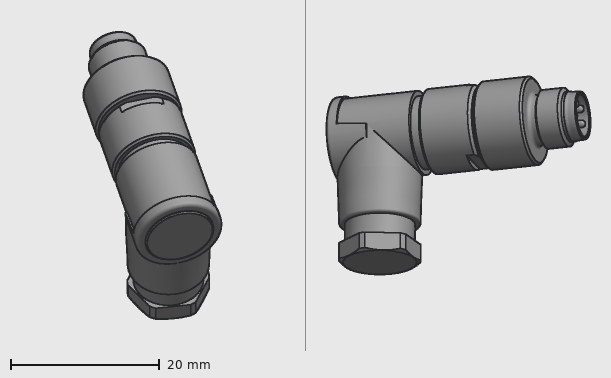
import cadquery as cq
import math


LENGTH = 34.8
HEIGHT = 23.8

TIP_RIM_RADIUS = 3.2
TIP_EDGE_RADIUS = 3.27
TIP_RADIUS = 3.3
TIP_RIM_END = 0.15
TIP_TAPER_END = 0.45
TIP_STRAIGHT_END = 1.15
BARB_RADIUS = 6.8 / 2
BARB_START = 1.45
BARB_END = 1.67
NECK_RADIUS = 6.85 / 2
BORE_RADIUS = 2.85
BORE_DEPTH = 5.22
BORE_CHAMFER = 0.15

COLLAR_RADIUS = 4.0
COLLAR_START = 2.02
COLLAR_END = 5.67
COLLAR_CHAMFER_ANGLE = 30.0

NUT_RADIUS = 12.0 / 2
NUT_START = 6.75
NUT_END = 13.75
NUT_CHAMFER = 0.3
NUT_NECK_FILLET = 0.55

SLEEVE_RADIUS = 11.6 / 2
SLEEVE_START = 14.05
SLEEVE_END = 21.5
SLEEVE_FRONT_CHAMFER = 0.42
SLEEVE_REAR_CHAMFER = 0.3
FLAT_DISTANCE = 10.0
FLAT_END = 15.55

ELBOW_NECK_RADIUS = FLAT_DISTANCE / 2
ELBOW_RADIUS = 5.7
ELBOW_START = 22.8
CAP_RADIUS = NUT_RADIUS
CAP_START = 32.95
CAP_END = 34.52
CAP_FILLET = 0.52
END_DISC_RADIUS = 9.5 / 2
END_DISC_CHAMFER = 0.2
SKIRT_RISE = 0.45

OUTLET_X = 28.78
OUTLET_TAPER_TOP = -6.0
OUTLET_BOTTOM = -12.42
OUTLET_BOTTOM_RADIUS = 5.5
OUTLET_FILLET = 0.35
OUTLET_NECK_RADIUS = END_DISC_RADIUS

HEX_TOP = -15.28
HEX_BOTTOM = CAP_RADIUS - HEIGHT
HEX_ACROSS_FLATS = 10.0
HEX_CORNER_RADIUS = 5.55
HEX_TURN = -7.5
HEX_EDGE_HEIGHT = 0.3
HEX_BOTTOM_RADIUS = 4.95

PIN_RADIUS = 1.0 / 2
PIN_TIP = 0.28
PIN_POSITIONS = [(1.08, 1.35), (-1.08, 1.35), (1.7, -0.55), (-1.7, -0.55)]


def cylinder_x(radius, start, end):
    """Solid cylinder on the plug axis."""
    return cq.Workplane("YZ").workplane(offset=start).circle(radius).extrude(end - start)


def plug():
    """Turned tip and threaded collar, running back to the sleeve, with the contact bore."""
    chamfer_depth = COLLAR_RADIUS - NECK_RADIUS
    chamfer_length = chamfer_depth * math.tan(math.radians(COLLAR_CHAMFER_ANGLE))
    profile = (
        cq.Workplane("XZ")
        .moveTo(BORE_DEPTH, 0)
        .lineTo(BORE_DEPTH, BORE_RADIUS)
        .lineTo(BORE_CHAMFER, BORE_RADIUS)
        .lineTo(0, BORE_RADIUS + BORE_CHAMFER)
        .lineTo(0, TIP_RIM_RADIUS)
        .lineTo(TIP_RIM_END, TIP_EDGE_RADIUS)
        .lineTo(TIP_TAPER_END, TIP_RADIUS)
        .lineTo(TIP_STRAIGHT_END, TIP_RADIUS)
        .lineTo(BARB_START, BARB_RADIUS)
        .lineTo(BARB_END, BARB_RADIUS)
        .lineTo(BARB_END, NECK_RADIUS)
        .lineTo(COLLAR_START, NECK_RADIUS)
        .lineTo(COLLAR_START + chamfer_length, COLLAR_RADIUS)
        .lineTo(COLLAR_END - chamfer_length, COLLAR_RADIUS)
        .lineTo(COLLAR_END, NECK_RADIUS)
        .lineTo(NUT_START - NUT_NECK_FILLET, NECK_RADIUS)
        .radiusArc((NUT_START, NECK_RADIUS + NUT_NECK_FILLET), -NUT_NECK_FILLET)
        .lineTo(NUT_START, NECK_RADIUS)
        .lineTo(SLEEVE_START, NECK_RADIUS)
        .lineTo(SLEEVE_START, 0)
        .close()
    )
    return profile.revolve(360, (0, 0, 0), (1, 0, 0))


def pins():
    """Round-ended contacts standing on the floor of the bore."""
    ball_centre = PIN_TIP + PIN_RADIUS
    contacts = (
        cq.Workplane("YZ")
        .workplane(offset=ball_centre)
        .pushPoints(PIN_POSITIONS)
        .circle(PIN_RADIUS)
        .extrude(BORE_DEPTH - ball_centre)
    )
    for y, z in PIN_POSITIONS:
        tip = cq.Workplane("XY").sphere(PIN_RADIUS).translate((ball_centre, y, z))
        contacts = contacts.union(tip)
    return contacts


def coupling_nut():
    """Plain round nut chamfered at both ends."""
    return cylinder_x(NUT_RADIUS, NUT_START, NUT_END).faces("<X or >X").chamfer(NUT_CHAMFER)


def sleeve():
    """Chamfered sleeve with a wrench flat above and below at its front end."""
    body = cylinder_x(SLEEVE_RADIUS, SLEEVE_START, SLEEVE_END)
    body = body.faces("<X").chamfer(SLEEVE_FRONT_CHAMFER)
    body = body.faces(">X").chamfer(SLEEVE_REAR_CHAMFER)
    flat_length = FLAT_END - SLEEVE_START
    for side in (1, -1):
        cutter = cq.Workplane("XY").box(
            flat_length, 2 * SLEEVE_RADIUS, SLEEVE_RADIUS, centered=(False, True, True)
        )
        z = side * (FLAT_DISTANCE + SLEEVE_RADIUS) / 2
        body = body.cut(cutter.translate((SLEEVE_START, 0, z)))
    return body


def elbow():
    """Horizontal barrel joined to the sleeve by a narrower neck."""
    neck = cylinder_x(ELBOW_NECK_RADIUS, SLEEVE_END, ELBOW_START)
    barrel = cylinder_x(ELBOW_RADIUS, ELBOW_START, CAP_START)
    return neck.union(barrel)


def end_cap():
    """Rounded rear cap with a raised disc and a half skirt reaching forward under the barrel."""
    rim = cylinder_x(CAP_RADIUS, CAP_START, CAP_END).faces(">X").edges().fillet(CAP_FILLET)
    disc = cylinder_x(END_DISC_RADIUS, CAP_END, LENGTH).faces(">X").chamfer(END_DISC_CHAMFER)
    lower_part = (
        cq.Workplane("XZ")
        .moveTo(OUTLET_X, 0)
        .lineTo(CAP_START, SKIRT_RISE)
        .lineTo(CAP_START, -CAP_RADIUS)
        .lineTo(OUTLET_X, -CAP_RADIUS)
        .close()
        .extrude(CAP_RADIUS, both=True)
    )
    skirt = cylinder_x(CAP_RADIUS, OUTLET_X, CAP_START).intersect(lower_part)
    return rim.union(skirt).union(disc)


def outlet():
    """Vertical stem, tapered and rounded towards its lower end, with the gland neck below."""
    stem = (
        cq.Workplane("XZ")
        .lineTo(ELBOW_RADIUS, 0)
        .lineTo(ELBOW_RADIUS, OUTLET_TAPER_TOP)
        .lineTo(OUTLET_BOTTOM_RADIUS, OUTLET_BOTTOM)
        .lineTo(0, OUTLET_BOTTOM)
        .close()
        .revolve(360, (0, 0, 0), (0, 1, 0))
        .faces("<Z")
        .edges()
        .fillet(OUTLET_FILLET)
    )
    neck = (
        cq.Workplane("XY")
        .workplane(offset=HEX_TOP)
        .circle(OUTLET_NECK_RADIUS)
        .extrude(OUTLET_BOTTOM - HEX_TOP)
    )
    return stem.union(neck).translate((OUTLET_X, 0, 0))


def gland_nut():
    """Hexagon with turned corners and a conical lower edge."""
    hexagon = (
        cq.Workplane("XY")
        .workplane(offset=HEX_BOTTOM)
        .polygon(6, HEX_ACROSS_FLATS, circumscribed=True)
        .extrude(HEX_TOP - HEX_BOTTOM)
        .rotate((0, 0, 0), (0, 0, 1), HEX_TURN)
    )
    turned_blank = (
        cq.Workplane("XZ")
        .moveTo(0, HEX_TOP)
        .lineTo(HEX_CORNER_RADIUS, HEX_TOP)
        .lineTo(HEX_CORNER_RADIUS, HEX_BOTTOM + HEX_EDGE_HEIGHT)
        .lineTo(HEX_BOTTOM_RADIUS, HEX_BOTTOM)
        .lineTo(0, HEX_BOTTOM)
        .close()
        .revolve(360, (0, 0, 0), (0, 1, 0))
    )
    return hexagon.intersect(turned_blank).translate((OUTLET_X, 0, 0))


result = plug()
for section in (pins(), coupling_nut(), sleeve(), elbow(), outlet(), end_cap(), gland_nut()):
    result = result.union(section)